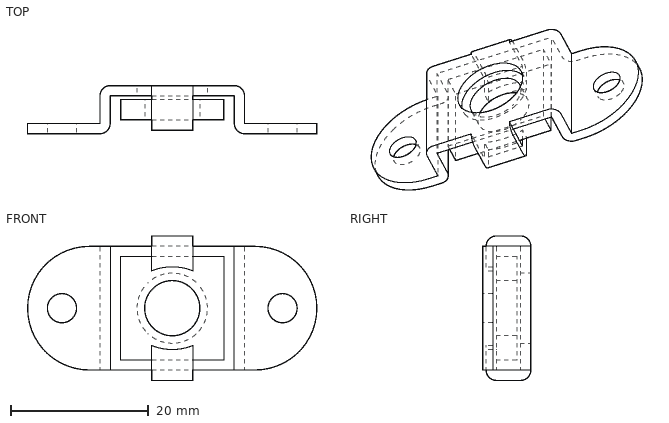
import cadquery as cq
import math

length = 42.0
sheet = 1.5
clip_span = 21.0
hat_width = 21.0
bracket_depth = 7.0
strip_height = clip_span - 2 * sheet
ear_radius = strip_height / 2

mount_hole_diameter = 4.2
mount_hole_spacing = 32.0
web_hole_diameter = 10.2

clip_width = 6.0
clip_depth = 6.5
clip_tip_height = 6.0
clip_tip_radius = 8.0

nut_hole_diameter = 8.0
nut_side = 15.0
nut_thickness = 3.0
nut_front = -(clip_depth - sheet)


def rod_along_y(diameter, x, z, depth):
    """Cylinder from the back plane Y = 0 to Y = -depth."""
    return cq.Workplane("XZ").center(x, z).circle(diameter / 2).extrude(depth)


def make_hat_strip():
    """Bent strip with square ends, rounded on the outside of every bend."""
    wall_outer = hat_width / 2
    wall_inner = wall_outer - sheet
    ear_back = sheet - bracket_depth
    half_profile = [
        (0, 0),
        (wall_outer, 0),
        (wall_outer, ear_back),
        (length / 2, ear_back),
        (length / 2, -bracket_depth),
        (wall_inner, -bracket_depth),
        (wall_inner, -sheet),
        (0, -sheet),
    ]
    half = cq.Workplane("XY").polyline(half_profile).close().extrude(ear_radius, both=True)
    strip = half.union(half.mirror("YZ"))
    for side in (-1, 1):
        for x, y in ((wall_outer, 0), (wall_inner, -bracket_depth)):
            bend_edge = cq.selectors.NearestToPointSelector((side * x, y, 0))
            strip = strip.edges("|Z").edges(bend_edge).fillet(sheet)
    return strip


def make_rounded_outline():
    """Slot-shaped block that trims the strip ends into round ears."""
    return cq.Workplane("XZ").slot2D(length, strip_height).extrude(bracket_depth)


def make_upper_clip():
    """Hook that rises from the web, runs forward and turns down to a concave tip."""
    top = clip_span / 2
    underside = top - sheet
    tip_edge_height = (
        clip_tip_height - clip_tip_radius + math.sqrt(clip_tip_radius**2 - (clip_width / 2) ** 2)
    )
    hook_profile = [
        (0, tip_edge_height),
        (0, top),
        (-clip_depth, top),
        (-clip_depth, tip_edge_height),
        (nut_front, tip_edge_height),
        (nut_front, underside),
        (-sheet, underside),
        (-sheet, tip_edge_height),
    ]
    hook = cq.Workplane("YZ").polyline(hook_profile).close().extrude(clip_width / 2, both=True)
    hook = hook.faces(">Z").edges("|X").fillet(sheet)
    tip_cut = rod_along_y(2 * clip_tip_radius, 0, clip_tip_height - clip_tip_radius, clip_depth)
    return hook.cut(tip_cut)


def make_bracket():
    bracket = make_hat_strip().intersect(make_rounded_outline())
    upper_clip = make_upper_clip()
    bracket = bracket.union(upper_clip).union(upper_clip.mirror("XY"))
    for side in (-1, 1):
        hole_x = side * mount_hole_spacing / 2
        bracket = bracket.cut(rod_along_y(mount_hole_diameter, hole_x, 0, bracket_depth))
    return bracket.cut(rod_along_y(web_hole_diameter, 0, 0, bracket_depth))


def make_nut_plate():
    plate = cq.Workplane("XZ", origin=(0, nut_front + nut_thickness, 0))
    plate = plate.rect(nut_side, nut_side).extrude(nut_thickness)
    return plate.cut(rod_along_y(nut_hole_diameter, 0, 0, bracket_depth))


bracket = make_bracket()
nut_plate = make_nut_plate()

result = cq.Compound.makeCompound([*bracket.solids().vals(), nut_plate.val()])